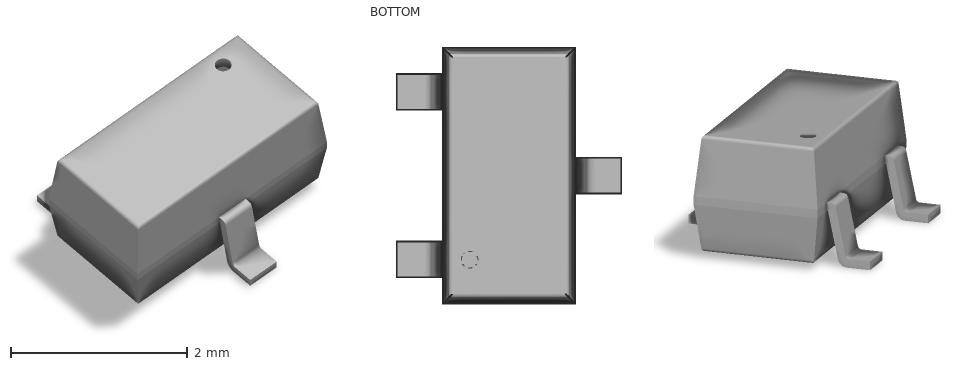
import cadquery as cq
import math

HOUSING_WIDTH = 1.5
HOUSING_LENGTH = 2.9
HOUSING_BOTTOM_Z = 0.078
HOUSING_TOP_Z = 1.45
TAPER_INSET = 0.072
EDGE_RADIUS = 0.038

LEAD_SPAN = 2.55
LEAD_THICKNESS = 0.102
LEAD_WIDTH = 0.405
LEAD_TOP_Z = 0.748
LEAD_PITCH = 1.9
SHOULDER_LENGTH = 0.1
SHANK_LEAN = math.radians(12)
SHOULDER_RADIUS = 0.058
ANKLE_INNER_RADIUS = 0.045
ANKLE_OUTER_RADIUS = 0.11

MARKER_DIAMETER = 0.188
MARKER_DEPTH = 0.145
MARKER_X = -0.45
MARKER_Y = LEAD_PITCH / 2

BAND_TOP_Z = LEAD_TOP_Z
BAND_BOTTOM_Z = LEAD_TOP_Z - LEAD_THICKNESS


def tapered_half(band_z, end_z):
    """Solid narrowing from the band at band_z to the end face at end_z."""
    return (
        cq.Workplane("XY", origin=(0, 0, band_z))
        .rect(HOUSING_WIDTH, HOUSING_LENGTH)
        .workplane(offset=end_z - band_z)
        .rect(HOUSING_WIDTH - 2 * TAPER_INSET, HOUSING_LENGTH - 2 * TAPER_INSET)
        .loft(ruled=True)
    )


def make_housing():
    band = (
        cq.Workplane("XY", origin=(0, 0, BAND_BOTTOM_Z))
        .rect(HOUSING_WIDTH, HOUSING_LENGTH)
        .extrude(LEAD_THICKNESS)
    )
    upper_half = tapered_half(BAND_TOP_Z, HOUSING_TOP_Z)
    lower_half = tapered_half(BAND_BOTTOM_Z, HOUSING_BOTTOM_Z)
    body = band.union(upper_half).union(lower_half)
    body = body.faces(">Z or <Z").edges().fillet(EDGE_RADIUS)
    marker = (
        cq.Workplane("XY", origin=(MARKER_X, MARKER_Y, HOUSING_TOP_Z - MARKER_DEPTH))
        .circle(MARKER_DIAMETER / 2)
        .extrude(MARKER_DEPTH)
    )
    return body.cut(marker)


def make_lead():
    """Lead on the +X side, centred on Y = 0 and ending flush against the housing."""
    root_x = HOUSING_WIDTH / 2
    tip_x = LEAD_SPAN / 2
    shank_run = (LEAD_TOP_Z - LEAD_THICKNESS) * math.tan(SHANK_LEAN)
    corner_shift = LEAD_THICKNESS * math.tan((math.pi / 2 - SHANK_LEAN) / 2)

    shoulder_outer_x = root_x + SHOULDER_LENGTH
    shoulder_inner_x = shoulder_outer_x - corner_shift
    ankle_inner_x = shoulder_outer_x + shank_run
    ankle_outer_x = shoulder_inner_x + shank_run

    blank = (
        cq.Workplane("XZ")
        .polyline([
            (root_x, LEAD_TOP_Z),
            (shoulder_outer_x, LEAD_TOP_Z),
            (ankle_inner_x, LEAD_THICKNESS),
            (tip_x, LEAD_THICKNESS),
            (tip_x, 0),
            (ankle_outer_x, 0),
            (shoulder_inner_x, LEAD_TOP_Z - LEAD_THICKNESS),
            (root_x, LEAD_TOP_Z - LEAD_THICKNESS),
        ])
        .close()
        .extrude(LEAD_WIDTH / 2, both=True)
    )
    bends = [
        (shoulder_outer_x, LEAD_TOP_Z, SHOULDER_RADIUS),
        (ankle_inner_x, LEAD_THICKNESS, ANKLE_INNER_RADIUS),
        (ankle_outer_x, 0, ANKLE_OUTER_RADIUS),
    ]
    for x, z, radius in bends:
        corner = cq.selectors.NearestToPointSelector((x, 0, z))
        blank = blank.edges("|Y").edges(corner).fillet(radius)
    return blank


def place_leads():
    """One lead on the middle of the +X side and two on the -X side."""
    half_turn = 180
    placements = [(0, 0), (half_turn, LEAD_PITCH / 2), (half_turn, -LEAD_PITCH / 2)]
    return [
        make_lead().rotate((0, 0, 0), (0, 0, 1), turn).translate((0, y, 0))
        for turn, y in placements
    ]


housing = make_housing()
leads = place_leads()

result = cq.Compound.makeCompound([housing.val(), *[lead.val() for lead in leads]])